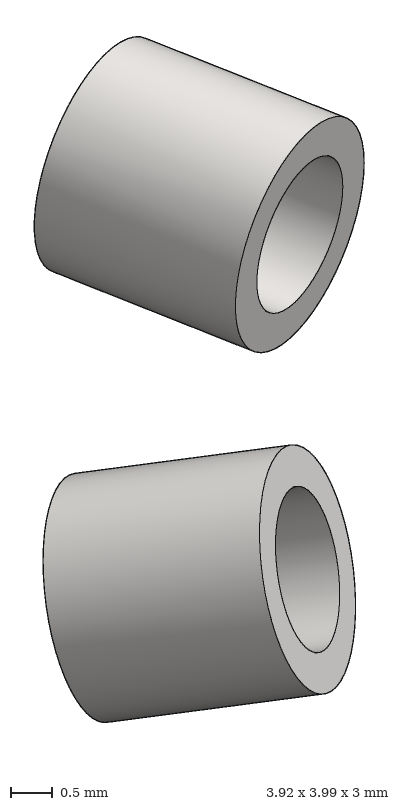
import cadquery as cq

outer_diameter = 2.995
bore_diameter = 2.0
length = 2.793
axis_angle = 30.0

sleeve = (
    cq.Workplane("YZ")
    .circle(outer_diameter / 2)
    .circle(bore_diameter / 2)
    .extrude(length)
)

result = sleeve.rotate((0, 0, 0), (0, 0, 1), axis_angle)